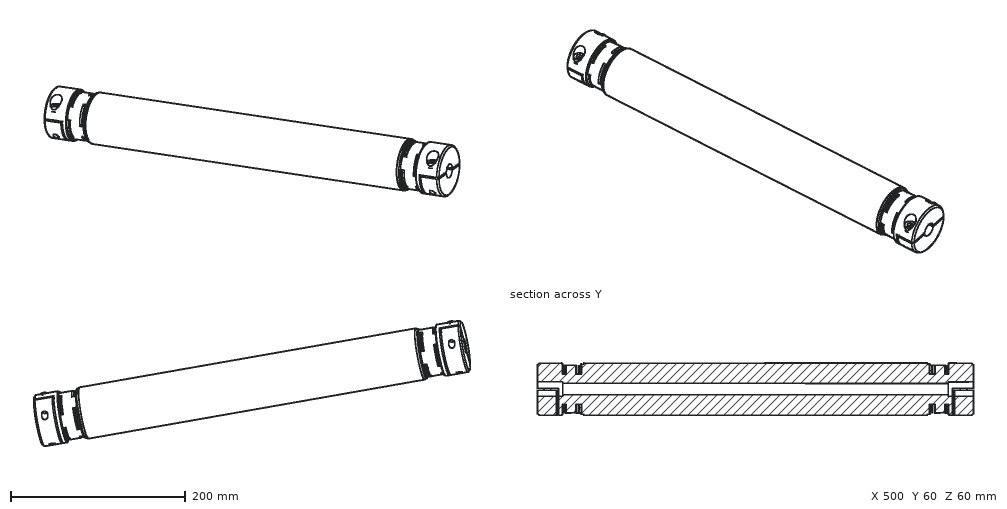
import cadquery as cq

length = 500.0
body_diameter = 60.0
neck_diameter = 55.0
shoulder_diameter = 58.0
hub_length = 29.0
neck_length = 21.5
shoulder_length = 2.5
shoulder_taper = 1.5
end_chamfer = 2.0
hub_edge_chamfer = 1.0
half_length = length / 2
body_radius = body_diameter / 2

hub_bore_diameter = 16.0
through_bore_diameter = 12.5

gaps_per_end = 4
gap_pitch = 360 / gaps_per_end
gap_angle = 56.0
hub_gap_width = 3.5
tube_gap_width = 6.0
gap_floor_diameter = 35.0
rim_diameter = 54.0
rim_width = 1.0
gap_overcut = 0.5

slit_width = 2.0
cross_slit_position = 22.0

screw_position = 11.5
screw_offset = 20.5
pocket_diameter = 13.5
pocket_floor = 10.0
head_diameter = 12.5
head_top = 16.0
socket_diameter = 7.0
socket_depth = 3.5
socket_pilot_diameter = 4.0
socket_pilot_depth = 1.5
shank_diameter = 8.0
thread_hole_diameter = 7.0
thread_hole_top = -12.5

hub_face = -half_length
neck_start = hub_face + hub_length
neck_end = neck_start + neck_length
shoulder_end = neck_end + shoulder_length


def rod(diameter, start, end):
    """Cylinder along X between two X positions."""
    return cq.Workplane("YZ", origin=(start, 0, 0)).circle(diameter / 2).extrude(end - start)


def post(diameter, y, bottom, top):
    """Vertical cylinder on a screw axis of the left hub."""
    base = cq.Workplane("XY", origin=(hub_face + screw_position, y, bottom))
    return base.circle(diameter / 2).extrude(top - bottom)


def left_blank():
    """Left half of the shaft, turned to its outer steps."""
    hub = rod(body_diameter, hub_face, neck_start)
    hub = hub.faces("<X").chamfer(end_chamfer).faces(">X").chamfer(hub_edge_chamfer)
    neck = rod(neck_diameter, neck_start, neck_end)
    shoulder = rod(shoulder_diameter, neck_end - shoulder_taper, shoulder_end)
    shoulder = shoulder.faces("<X").chamfer(shoulder_taper)
    tube = rod(body_diameter, shoulder_end, 0)
    return hub.union(neck).union(shoulder).union(tube)


def jaw_gaps(start, width, center_angle):
    """Ring of equal arc grooves in the neck, each with a low rim standing midway along it."""
    floor_radius = gap_floor_diameter / 2
    rim_radius = rim_diameter / 2
    rim_start = (width - rim_width) / 2
    rim_end = rim_start + rim_width
    profile = [
        (0, floor_radius),
        (rim_start, floor_radius),
        (rim_start, rim_radius),
        (rim_end, rim_radius),
        (rim_end, floor_radius),
        (width, floor_radius),
        (width, neck_diameter / 2 + gap_overcut),
        (0, neck_diameter / 2 + gap_overcut),
    ]
    gap = cq.Workplane("XY", origin=(start, 0, 0)).polyline(profile).close()
    gap = gap.revolve(gap_angle, (0, 0, 0), (1, 0, 0))
    gap = gap.rotate((0, 0, 0), (1, 0, 0), center_angle - gap_angle / 2)
    gaps = cq.Workplane("XY")
    for index in range(gaps_per_end):
        gaps = gaps.add(gap.rotate((0, 0, 0), (1, 0, 0), index * gap_pitch))
    return gaps.combine()


def clamp_slits():
    """Flat slit across the hub and the upright slit that ends it."""
    flat = cq.Workplane("XY").box(
        cross_slit_position + slit_width, body_diameter, slit_width, centered=(False, True, True)
    )
    cross = cq.Workplane("XY", origin=(cross_slit_position, 0, -body_radius)).box(
        slit_width, body_diameter, body_radius, centered=(False, True, False)
    )
    return flat.union(cross).translate((hub_face, 0, 0))


def add_screw(part, y):
    """Sink a socket-head screw whose shank bridges the flat slit."""
    head = post(head_diameter, y, pocket_floor, head_top)
    socket_floor = head_top - socket_depth
    socket = (
        cq.Workplane("XY", origin=(hub_face + screw_position, y, socket_floor))
        .polygon(6, socket_diameter)
        .extrude(socket_depth)
    )
    part = part.cut(post(pocket_diameter, y, pocket_floor, body_radius))
    pilot = post(socket_pilot_diameter, y, socket_floor - socket_pilot_depth, socket_floor)
    part = part.union(head.cut(socket).cut(pilot))
    part = part.union(post(shank_diameter, y, -slit_width, slit_width))
    return part.cut(post(thread_hole_diameter, y, -body_radius, thread_hole_top))


left = left_blank()
left = left.cut(rod(through_bore_diameter, hub_face, 0))
left = left.cut(rod(hub_bore_diameter, hub_face, neck_start))
left = left.cut(jaw_gaps(neck_start, hub_gap_width, gap_pitch / 4))
left = left.cut(jaw_gaps(neck_end - tube_gap_width, tube_gap_width, -gap_pitch / 4))
left = left.cut(clamp_slits())
for side in (-1, 1):
    left = add_screw(left, side * screw_offset)

result = left.union(left.rotate((0, 0, 0), (0, 0, 1), 180))